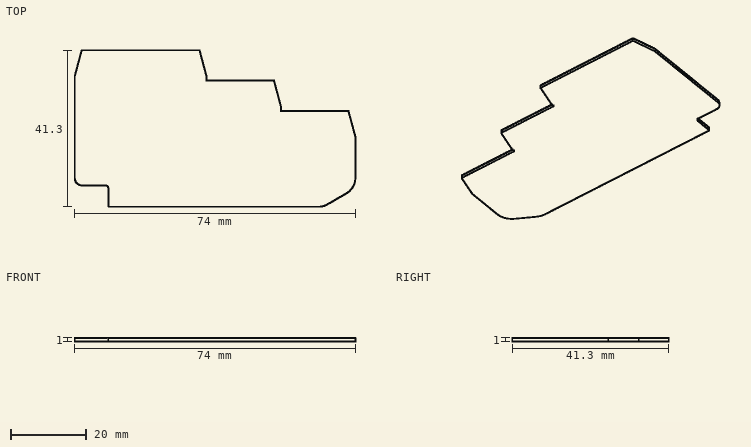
import cadquery as cq
import math

length = 74.05
width = 41.3
thickness = 1.0
edge_chamfer_drop = 0.2
edge_chamfer_inset = 0.1

first_shoulder_x = 32.95
step_pitch = 19.6
step_drop = 8.0
step_count = 3
taper_run = 1.85
taper_drop = 6.9

notch_length = 8.9
notch_height = 5.6
notch_outer_radius = 2.0
notch_inner_radius = 0.75
foot_radius = 0.3

slope_start_x = 65.5
slope_angle = math.radians(30)
slope_end_y = (length - slope_start_x) * math.tan(slope_angle)
slope_radius = 4.9


def outline_points():
    """Corners of the plate, clockwise from the left end of the notch."""
    points = [
        (0, notch_height),
        (0, width - taper_drop),
        (taper_run, width),
    ]
    for step in range(step_count):
        shoulder_x = first_shoulder_x + step * step_pitch
        level_y = width - step * step_drop
        points.append((shoulder_x, level_y))
        points.append((shoulder_x + taper_run, level_y - taper_drop))
        if step < step_count - 1:
            points.append((shoulder_x + taper_run, level_y - step_drop))
    points += [
        (length, slope_end_y),
        (slope_start_x, 0),
        (notch_length, 0),
        (notch_length, notch_height),
    ]
    return points


def round_corner(body, x, y, radius):
    """Round the upright edge standing at (x, y)."""
    nearest = cq.selectors.NearestToPointSelector((x, y, thickness / 2))
    return body.edges("|Z").edges(nearest).fillet(radius)


plate = cq.Workplane("XY").polyline(outline_points()).close().extrude(thickness)

rounded_corners = [
    (0, notch_height, notch_outer_radius),
    (notch_length, notch_height, notch_inner_radius),
    (notch_length, 0, foot_radius),
    (slope_start_x, 0, slope_radius),
    (length, slope_end_y, slope_radius),
]
for corner_x, corner_y, corner_radius in rounded_corners:
    plate = round_corner(plate, corner_x, corner_y, corner_radius)

result = plate.faces(">Z").chamfer(edge_chamfer_drop, edge_chamfer_inset)